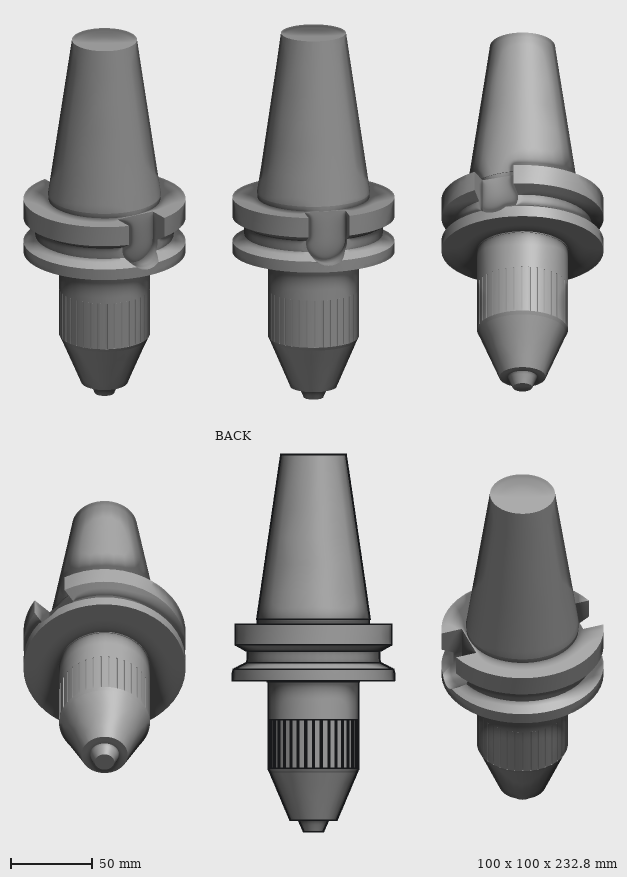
import cadquery as cq
import math

total_height = 232.8

taper_ratio = 7 / 24
gauge_diameter = 69.8
gauge_plane_z = 131.0
neck_diameter = 69.1
flange_diameter = 100.0
flange_top_z = 128.0
flange_bottom_z = 93.1
upper_rim_bottom_z = 115.5
lower_rim_top_z = 100.0
vee_floor_diameter = 85.5
vee_flank_angle = 30.0
boss_diameter = 56.8
boss_height = 0.7
shank_diameter = 56.0
shank_bottom_z = 69.1

slot_width = 25.8
slot_bottom_z = 97.3
slot_floor_x = 35.2

sleeve_diameter = shank_diameter
sleeve_top_z = shank_bottom_z
sleeve_bottom_z = 39.0
nose_top_diameter = 54.0
nose_top_z = 37.0
nose_bottom_diameter = 28.6
nose_bottom_z = 7.0
jaw_top_diameter = 18.2
jaw_tip_diameter = 12.0

groove_count = 36
groove_width = 1.0
groove_depth = 0.5


def revolved(profile):
    """Turn a closed (radius, height) profile around the Z axis."""
    return cq.Workplane("XZ").polyline(profile).close().revolve(360, (0, 0), (0, 1))


def make_holder_blank():
    taper_length = total_height - gauge_plane_z
    taper_end_diameter = gauge_diameter - taper_length * taper_ratio
    vee_depth = (flange_diameter - vee_floor_diameter) / 2
    flank_height = vee_depth * math.tan(math.radians(vee_flank_angle))
    boss_bottom_z = flange_bottom_z - boss_height
    return revolved([
        (0, shank_bottom_z),
        (shank_diameter / 2, shank_bottom_z),
        (shank_diameter / 2, boss_bottom_z),
        (boss_diameter / 2, boss_bottom_z),
        (boss_diameter / 2, flange_bottom_z),
        (flange_diameter / 2, flange_bottom_z),
        (flange_diameter / 2, lower_rim_top_z),
        (vee_floor_diameter / 2, lower_rim_top_z + flank_height),
        (vee_floor_diameter / 2, upper_rim_bottom_z - flank_height),
        (flange_diameter / 2, upper_rim_bottom_z),
        (flange_diameter / 2, flange_top_z),
        (neck_diameter / 2, flange_top_z),
        (neck_diameter / 2, gauge_plane_z),
        (gauge_diameter / 2, gauge_plane_z),
        (taper_end_diameter / 2, total_height),
        (0, total_height),
    ])


def make_drive_slot(side):
    """Cutter for one slot; side is +1 for +X and -1 for -X."""
    half_width = slot_width / 2
    arc_center_z = slot_bottom_z + half_width
    return (
        cq.Workplane("YZ", origin=(side * slot_floor_x, 0, 0))
        .moveTo(-half_width, flange_top_z)
        .lineTo(-half_width, arc_center_z)
        .threePointArc((0, slot_bottom_z), (half_width, arc_center_z))
        .lineTo(half_width, flange_top_z)
        .close()
        .extrude(side * flange_diameter / 2)
    )


def make_holder():
    holder = make_holder_blank()
    for side in (-1, 1):
        holder = holder.cut(make_drive_slot(side))
    return holder


def make_chuck_blank():
    return revolved([
        (0, 0),
        (jaw_tip_diameter / 2, 0),
        (jaw_top_diameter / 2, nose_bottom_z),
        (nose_bottom_diameter / 2, nose_bottom_z),
        (nose_top_diameter / 2, nose_top_z),
        (sleeve_diameter / 2, sleeve_bottom_z),
        (sleeve_diameter / 2, sleeve_top_z),
        (0, sleeve_top_z),
    ])


def make_sleeve_grooves():
    """Cutters for all sleeve grooves, evenly spaced from the +X direction."""
    return (
        cq.Workplane("XY", origin=(0, 0, sleeve_bottom_z))
        .polarArray(sleeve_diameter / 2, 0, 360, groove_count)
        .rect(2 * groove_depth, groove_width)
        .extrude(sleeve_top_z - sleeve_bottom_z)
    )


def make_chuck():
    return make_chuck_blank().cut(make_sleeve_grooves())


holder = make_holder()
chuck = make_chuck()

result = cq.Compound.makeCompound([holder.val(), chuck.val()])